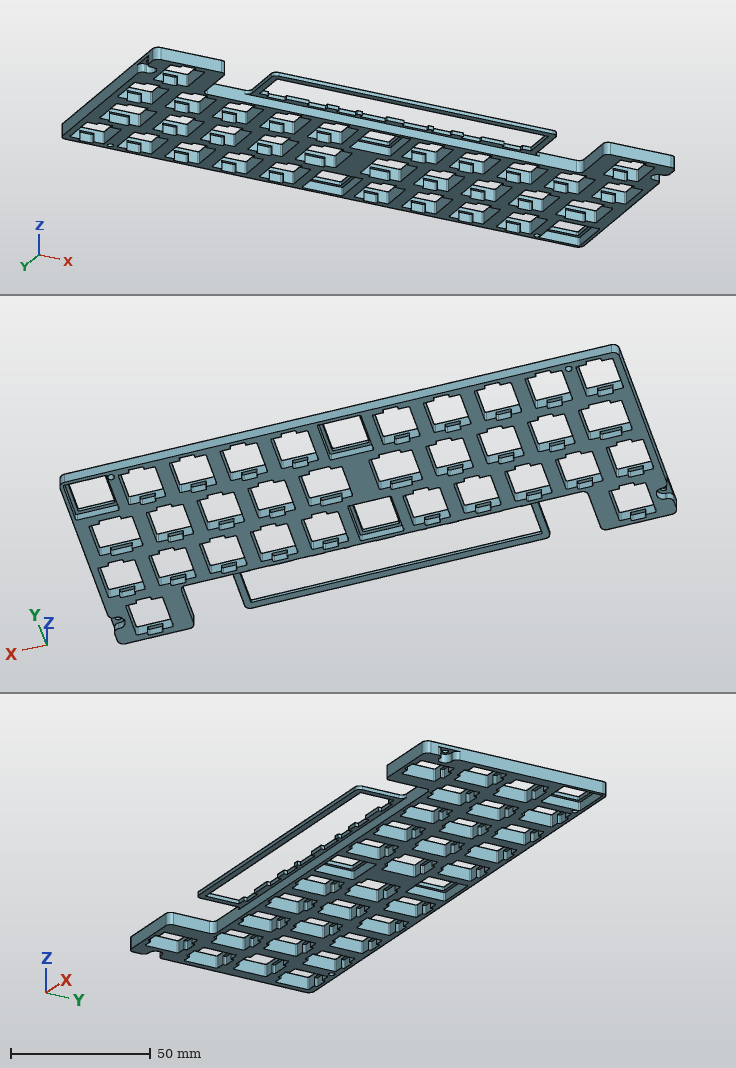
import cadquery as cq
LENGTH = 209.8
WIDTH = 76.4
THICKNESS = 4.8
KEYS_PER_ROW = 11
ROWS = 4
CORNER_RADIUS = 2.3
GAP_RADIUS = 2.0

PITCH_X = LENGTH / KEYS_PER_ROW
PITCH_Y = WIDTH / ROWS
OPENING = 13.8
OPENING_RADIUS = 0.5
BORDER = (PITCH_X - OPENING) / 2

LIP = 1.5
LOWER = THICKNESS - LIP

CLIP_WIDTH = 5.7
CLIP_DEPTH = 1.3

GAP_LEFT = 1.5 * PITCH_X
FRAME_LEFT = 2.5 * PITCH_X
FRAME_WIDTH = LENGTH - 2 * FRAME_LEFT

BAR_NOTCH_DEPTH = 1.36
BAR_NOTCH_WIDTH = 7.3
BAR_NOTCHES = [
    (47.5, BAR_NOTCH_WIDTH), (31.0, BAR_NOTCH_WIDTH), (19.0, BAR_NOTCH_WIDTH), (8.4, 9.9),
]

HOLE_DIAMETER = 2.3
RELIEF_DIAMETER = 5.0
RELIEF_MOUTH_RADIUS = 2.0
SIDE_HOLE_Y = 9.9

FULL_ROW = [(i + 0.5, i + 0.5) for i in range(KEYS_PER_ROW)]
STAGGERED_ROW = [
    (0.625, 0.75), (1.75, 1.75), (2.75, 2.75), (3.75, 3.75), (4.75, 4.875),
    (6.125, 6.25), (7.25, 7.25), (8.25, 8.25), (9.25, 9.25), (10.25, 10.375),
]
BOTTOM_ROW = [(0.75, 0.75), (10.25, 10.25)]
KEY_ROWS = [BOTTOM_ROW, FULL_ROW, STAGGERED_ROW, FULL_ROW]

FULLY_RELIEVED = [(1, 5), (3, 5), (3, 10)]


def block(x, y, z, length, width, height):
    """Box given by its lowest corner."""
    return cq.Workplane("XY").box(length, width, height, centered=False).translate((x, y, z))


def make_plate():
    plate = block(0, 0, 0, LENGTH, WIDTH, THICKNESS).edges("|Z").fillet(CORNER_RADIUS)
    for gap_x in (GAP_LEFT, LENGTH - FRAME_LEFT):
        plate = plate.cut(block(gap_x, 0, 0, FRAME_LEFT - GAP_LEFT, PITCH_Y, THICKNESS))
    margin = BORDER
    gap_corners = cq.selectors.BoxSelector(
        (GAP_LEFT - margin, -margin, 0), (LENGTH - GAP_LEFT + margin, PITCH_Y + margin, THICKNESS)
    )
    plate = plate.edges("|Z").edges(gap_corners).fillet(GAP_RADIUS)
    lower_cut_x = (GAP_LEFT + FRAME_LEFT) / 2
    return plate.cut(block(lower_cut_x, 0, 0, LENGTH - 2 * lower_cut_x, PITCH_Y, LOWER))


def rounded_block(x, y, length, width, height):
    """Block standing on the underside, with its upright edges rounded."""
    return block(x, y, 0, length, width, height).edges("|Z").fillet(OPENING_RADIUS).val()


def cut_keys(plate):
    openings = []
    reliefs = []
    for row, keys in enumerate(KEY_ROWS):
        y = (row + 0.5) * PITCH_Y - OPENING / 2
        for key, (first, last) in enumerate(keys):
            x = first * PITCH_X - OPENING / 2
            length = (last - first) * PITCH_X + OPENING
            openings.append(rounded_block(x, y, length, OPENING, THICKNESS))
            if (row, key) in FULLY_RELIEVED:
                inset = -CLIP_DEPTH
            else:
                inset = (OPENING - CLIP_WIDTH) / 2
            relief_width = OPENING + 2 * CLIP_DEPTH
            reliefs.append(rounded_block(x + inset, y - CLIP_DEPTH, length - 2 * inset, relief_width, LOWER))
    plate = plate.cut(cq.Workplane(obj=cq.Compound.makeCompound(openings)))
    return plate.cut(cq.Workplane(obj=cq.Compound.makeCompound(reliefs)))


def space_bar_slot():
    slot_top = PITCH_Y - BORDER
    notch_top = slot_top + BAR_NOTCH_DEPTH
    slot = block(FRAME_LEFT + BORDER, BORDER, 0, FRAME_WIDTH - 2 * BORDER, slot_top - BORDER, THICKNESS)
    for offset, width in BAR_NOTCHES:
        for x in (LENGTH / 2 - offset, LENGTH / 2 + offset):
            slot = slot.union(block(x - width / 2, BORDER, LOWER, width, notch_top - BORDER, LIP))
    return slot


def screw_holes():
    centers = [
        (PITCH_X, WIDTH - BORDER), (LENGTH - PITCH_X, WIDTH - BORDER),
        (BORDER, SIDE_HOLE_Y), (LENGTH - BORDER, SIDE_HOLE_Y),
    ]
    return cq.Workplane("XY").pushPoints(centers).circle(HOLE_DIAMETER / 2).extrude(THICKNESS)


def left_screw_relief():
    """U-shaped recess open to the left side, with both corners of its mouth rounded."""
    radius = RELIEF_DIAMETER / 2
    mouth = RELIEF_MOUTH_RADIUS
    return (
        cq.Workplane("XY")
        .moveTo(0, SIDE_HOLE_Y + radius + mouth)
        .radiusArc((mouth, SIDE_HOLE_Y + radius), -mouth)
        .lineTo(BORDER, SIDE_HOLE_Y + radius)
        .threePointArc((BORDER + radius, SIDE_HOLE_Y), (BORDER, SIDE_HOLE_Y - radius))
        .lineTo(mouth, SIDE_HOLE_Y - radius)
        .radiusArc((0, SIDE_HOLE_Y - radius - mouth), -mouth)
        .close()
        .extrude(LOWER)
    )


result = cut_keys(make_plate()).cut(space_bar_slot()).cut(screw_holes())
left_relief = left_screw_relief()
right_relief = left_relief.mirror("YZ").translate((LENGTH, 0, 0))
result = result.cut(left_relief).cut(right_relief)